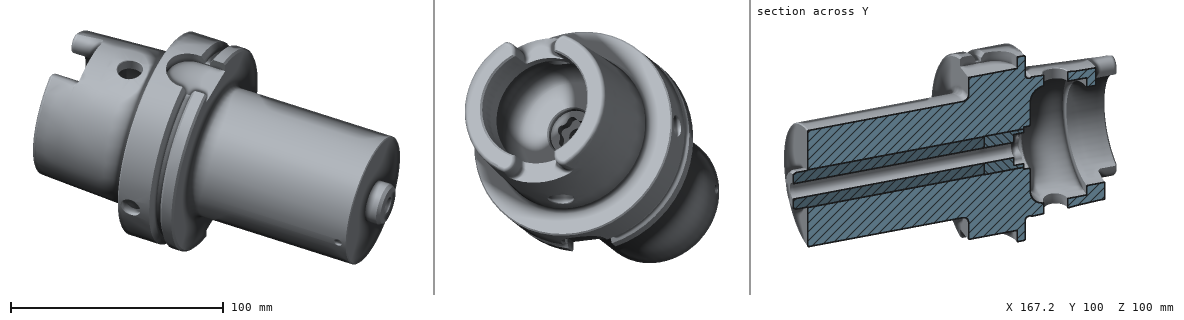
import cadquery as cq
import math


TAPER_END_RADIUS = 35.5
TAPER_SLOPE = 0.05
TAPER_LENGTH = 47.2
END_ROUNDING = 1.8
RELIEF_RADIUS = 37.3
RELIEF_FILLET = 2.0

FLANGE_X = 50.2
FLANGE_RADIUS = 50.0
FLANGE_BACK_X = 79.0
FLANGE_FRONT_CHAMFER = 0.7
FLANGE_BACK_CHAMFER = 1.0
GROOVE_FRONT_X = 66.5
GROOVE_LIP_RADIUS = 47.8
GROOVE_LIP_FRONT_X = 68.2
GROOVE_LIP_BACK_X = 71.4
GROOVE_BACK_X = 72.9
GROOVE_WALL_LEAN = 0.3
GROOVE_FLOOR_RADIUS = 46.0

NECK_RADIUS = 63.0 / 2
NECK_END_X = 159.8
NECK_FILLET = 2.8
NECK_END_CHAMFER = 0.5

BORE_RADIUS = 53.0 / 2
BORE_MOUTH_CHAMFER = 0.8
CLAMP_LIP_X = 19.4
UNDERCUT_RADIUS = 63.0 / 2
FLOOR_RADIUS = 48.5 / 2
FLOOR_FILLET = UNDERCUT_RADIUS - FLOOR_RADIUS
UNDERCUT_END_X = 40.3
BORE_FLOOR_X = UNDERCUT_END_X + FLOOR_FILLET

SLOT_HALF_WIDTH = 9.7
SLOT_EDGE_RADIUS = 5.4
SLOT_FLOOR_FILLET = 1.7
SLOT_DEPTH_TOP = 14.7
SLOT_DEPTH_BOTTOM = 10.2

KEYWAY_WIDTH = 21.7
KEYWAY_START_X = 54.3
KEYWAY_FLOOR_Z = 43.8

ACCESS_HOLE_X = 35.0
ACCESS_HOLE_DIAMETER = 12.0
ACCESS_HOLE_CHAMFER = 0.3
CHIP_HOLE_X = 57.0
CHIP_HOLE_DIAMETER = 10.0
CHIP_HOLE_DEPTH = 4.7
DRILL_POINT_X = 155.3
DRILL_POINT_DIAMETER = 4.0
DRILL_POINT_DEPTH = 1.7
DRILL_TIP_HEIGHT = 1.2

COOLANT_DIAMETER = 8.0
SCREW_DIAMETER = 20.4
SCREW_RECESS_DIAMETER = 22.5
SCREW_RECESS = 3.3
SCREW_LENGTH = 20.0
SCREW_HOLE_MOUTH_CHAMFER = 0.7
SOCKET_TIP_RADIUS = 8.4
SOCKET_FLANK_RADIUS = 7.5
SOCKET_VALLEY_RADIUS = 6.7
SOCKET_LOBES = 6
SOCKET_TURN = 84
SOCKET_DEPTH = 5.0
STUD_DIAMETER = 20.0
STUD_CHAMFER = 1.0
STUD_CHAMFER_LENGTH = 1.7
OVERALL_LENGTH = 167.2

SCREW_START_X = BORE_FLOOR_X + SCREW_RECESS
SCREW_END_X = SCREW_START_X + SCREW_LENGTH
PAST_SURFACE = 2 * FLANGE_RADIUS
PICK_MARGIN = 0.2


def rod(start_x, end_x, diameter):
    """A plain cylinder along the X axis."""
    return cq.Workplane("YZ", origin=(start_x, 0, 0)).circle(diameter / 2).extrude(end_x - start_x)


def turned(profile):
    """A solid of revolution about X from a closed (x, radius) profile."""
    return profile.close().revolve(360, (0, 0, 0), (1, 0, 0))


def outer_body():
    """Taper shank, flange with its gripper groove, and neck."""
    taper_end_radius = TAPER_END_RADIUS + TAPER_SLOPE * TAPER_LENGTH
    relief_start_x = TAPER_LENGTH + (taper_end_radius - RELIEF_RADIUS)
    profile = (
        cq.Workplane("XY")
        .lineTo(0, TAPER_END_RADIUS - END_ROUNDING)
        .radiusArc((END_ROUNDING, TAPER_END_RADIUS + TAPER_SLOPE * END_ROUNDING), END_ROUNDING)
        .lineTo(TAPER_LENGTH, taper_end_radius)
        .lineTo(relief_start_x, RELIEF_RADIUS)
        .lineTo(FLANGE_X - RELIEF_FILLET, RELIEF_RADIUS)
        .radiusArc((FLANGE_X, RELIEF_RADIUS + RELIEF_FILLET), -RELIEF_FILLET)
        .lineTo(FLANGE_X, FLANGE_RADIUS - FLANGE_FRONT_CHAMFER)
        .lineTo(FLANGE_X + FLANGE_FRONT_CHAMFER, FLANGE_RADIUS)
        .lineTo(GROOVE_FRONT_X, FLANGE_RADIUS)
        .lineTo(GROOVE_LIP_FRONT_X, GROOVE_LIP_RADIUS)
        .lineTo(GROOVE_LIP_FRONT_X + GROOVE_WALL_LEAN, GROOVE_FLOOR_RADIUS)
        .lineTo(GROOVE_LIP_BACK_X - GROOVE_WALL_LEAN, GROOVE_FLOOR_RADIUS)
        .lineTo(GROOVE_LIP_BACK_X, GROOVE_LIP_RADIUS)
        .lineTo(GROOVE_BACK_X, FLANGE_RADIUS)
        .lineTo(FLANGE_BACK_X - FLANGE_BACK_CHAMFER, FLANGE_RADIUS)
        .lineTo(FLANGE_BACK_X, FLANGE_RADIUS - FLANGE_BACK_CHAMFER)
        .lineTo(FLANGE_BACK_X, NECK_RADIUS + NECK_FILLET)
        .radiusArc((FLANGE_BACK_X + NECK_FILLET, NECK_RADIUS), -NECK_FILLET)
        .lineTo(NECK_END_X - NECK_END_CHAMFER, NECK_RADIUS)
        .lineTo(NECK_END_X, NECK_RADIUS - NECK_END_CHAMFER)
        .lineTo(NECK_END_X, 0)
    )
    return turned(profile)


def clamping_bore():
    """Bore of the shank: clamping lip, undercut behind it and rounded floor corner."""
    profile = (
        cq.Workplane("XY")
        .lineTo(0, BORE_RADIUS)
        .lineTo(CLAMP_LIP_X, BORE_RADIUS)
        .lineTo(CLAMP_LIP_X, UNDERCUT_RADIUS)
        .lineTo(UNDERCUT_END_X, UNDERCUT_RADIUS)
        .radiusArc((BORE_FLOOR_X, FLOOR_RADIUS), FLOOR_FILLET)
        .lineTo(BORE_FLOOR_X, 0)
    )
    return turned(profile)


def bore_mouth_chamfer():
    """Cone that breaks the edge of the clamping bore."""
    profile = (
        cq.Workplane("XY")
        .lineTo(0, BORE_RADIUS + BORE_MOUTH_CHAMFER)
        .lineTo(BORE_MOUTH_CHAMFER, BORE_RADIUS)
        .lineTo(BORE_MOUTH_CHAMFER, 0)
    )
    return turned(profile)


def opposite(cutter):
    """The same cutter on the other side of the axis."""
    return cutter.rotate((0, 0, 0), (1, 0, 0), 180)


def slot_opening(depth):
    """Prism of the drive slot without edge fillets, open upward.

    Its walls roll outward over SLOT_EDGE_RADIUS and meet the taper tangentially at the slot floor.
    """
    taper_radius = TAPER_END_RADIUS + TAPER_SLOPE * depth
    centre_y = SLOT_HALF_WIDTH + SLOT_EDGE_RADIUS
    centre_radius = taper_radius - SLOT_EDGE_RADIUS
    centre_z = math.sqrt(centre_radius**2 - centre_y**2)
    tip_y = centre_y * taper_radius / centre_radius
    tip_z = centre_z * taper_radius / centre_radius
    top_y = tip_y * FLANGE_RADIUS / tip_z
    return (
        cq.Workplane("YZ")
        .moveTo(-SLOT_HALF_WIDTH, 0)
        .lineTo(SLOT_HALF_WIDTH, 0)
        .lineTo(SLOT_HALF_WIDTH, centre_z)
        .radiusArc((tip_y, tip_z), SLOT_EDGE_RADIUS)
        .lineTo(top_y, FLANGE_RADIUS)
        .lineTo(-top_y, FLANGE_RADIUS)
        .lineTo(-tip_y, tip_z)
        .radiusArc((-SLOT_HALF_WIDTH, centre_z), SLOT_EDGE_RADIUS)
        .close()
        .extrude(depth)
    )


def upper_block(start_x, end_x):
    """Box above the axis, wider than the shank."""
    return (
        cq.Workplane("YZ", origin=(start_x, 0, FLANGE_RADIUS / 2))
        .rect(PAST_SURFACE, FLANGE_RADIUS)
        .extrude(end_x - start_x)
    )


def wall_edges_at(x, flank):
    """Selector for the slot wall edges at one x on one flank (+1 or -1), without base and top edges."""
    return cq.selectors.BoxSelector(
        (x - PICK_MARGIN, flank * PICK_MARGIN, PICK_MARGIN),
        (x + PICK_MARGIN, flank * (FLANGE_RADIUS - PICK_MARGIN), FLANGE_RADIUS - PICK_MARGIN),
    )


def drive_slot(depth):
    """Cutter for a drive slot in the top of the shank, with rounded mouth and floor corners."""
    walls = upper_block(0, depth + SLOT_FLOOR_FILLET).cut(slot_opening(depth))
    for flank in (1, -1):
        walls = walls.edges(wall_edges_at(0, flank)).fillet(END_ROUNDING)
        walls = walls.edges(wall_edges_at(depth, flank)).fillet(SLOT_FLOOR_FILLET)
    return upper_block(-END_ROUNDING, depth).cut(walls)


def keyway():
    """Cutter for the round-ended keyway in the top of the flange, open toward the neck."""
    end_radius = KEYWAY_WIDTH / 2
    centre_x = KEYWAY_START_X + end_radius
    length = FLANGE_BACK_X - centre_x
    return (
        cq.Workplane("XY", origin=(centre_x, 0, KEYWAY_FLOOR_Z))
        .moveTo(length, -end_radius)
        .lineTo(0, -end_radius)
        .threePointArc((-end_radius, 0), (0, end_radius))
        .lineTo(length, end_radius)
        .close()
        .extrude(FLANGE_RADIUS)
    )


def with_access_hole(holder):
    """The holder with a hole through both walls of its shank, chamfered outside."""
    hole = (
        cq.Workplane("XY", origin=(ACCESS_HOLE_X, 0, 0))
        .circle(ACCESS_HOLE_DIAMETER / 2)
        .extrude(PAST_SURFACE, both=True)
    )
    holder = holder.cut(hole)
    reach = ACCESS_HOLE_DIAMETER / 2 + PICK_MARGIN
    middle_of_wall = (UNDERCUT_RADIUS + TAPER_END_RADIUS) / 2
    for side in (1, -1):
        at_mouth = cq.selectors.BoxSelector(
            (ACCESS_HOLE_X - reach, -reach, side * middle_of_wall),
            (ACCESS_HOLE_X + reach, reach, side * FLANGE_RADIUS),
        )
        holder = holder.edges(at_mouth).chamfer(ACCESS_HOLE_CHAMFER)
    return holder


def chip_hole():
    """Flat-bottomed hole in the front of the flange rim."""
    return (
        cq.Workplane("XZ", origin=(CHIP_HOLE_X, -FLANGE_RADIUS + CHIP_HOLE_DEPTH, 0))
        .circle(CHIP_HOLE_DIAMETER / 2)
        .extrude(PAST_SURFACE)
    )


def drill_point():
    """Small blind hole with a conical bottom near the end of the neck."""
    radius = DRILL_POINT_DIAMETER / 2
    floor_y = -NECK_RADIUS + DRILL_POINT_DEPTH
    return (
        cq.Workplane("XY", origin=(DRILL_POINT_X, 0, 0))
        .moveTo(0, floor_y + DRILL_TIP_HEIGHT)
        .lineTo(radius, floor_y)
        .lineTo(radius, -FLANGE_RADIUS)
        .lineTo(0, -FLANGE_RADIUS)
        .close()
        .revolve(360, (0, 0, 0), (0, 1, 0))
    )


def screw_and_stud_bore():
    """Stepped bore along the axis that the screw and the stud fill."""
    screw_radius = SCREW_DIAMETER / 2
    recess_radius = SCREW_RECESS_DIAMETER / 2
    profile = (
        cq.Workplane("XY")
        .moveTo(BORE_FLOOR_X, 0)
        .lineTo(BORE_FLOOR_X, recess_radius + SCREW_HOLE_MOUTH_CHAMFER)
        .lineTo(BORE_FLOOR_X + SCREW_HOLE_MOUTH_CHAMFER, recess_radius)
        .lineTo(SCREW_START_X, recess_radius)
        .lineTo(SCREW_START_X, screw_radius)
        .lineTo(SCREW_END_X, screw_radius)
        .lineTo(SCREW_END_X, STUD_DIAMETER / 2)
        .lineTo(NECK_END_X, STUD_DIAMETER / 2)
        .lineTo(NECK_END_X, 0)
    )
    return turned(profile)


def make_holder():
    holder = outer_body().cut(clamping_bore())
    holder = holder.cut(drive_slot(SLOT_DEPTH_TOP))
    holder = holder.cut(opposite(drive_slot(SLOT_DEPTH_BOTTOM)))
    holder = holder.cut(bore_mouth_chamfer())
    holder = holder.cut(keyway()).cut(opposite(keyway()))
    holder = with_access_hole(holder)
    holder = holder.cut(chip_hole()).cut(drill_point())
    return holder.cut(screw_and_stud_bore())


def make_screw():
    """Hollow screw with a six-lobed socket facing the clamping bore."""
    screw = rod(SCREW_START_X, SCREW_END_X, SCREW_DIAMETER)
    pitch = 360 / SOCKET_LOBES
    quarter = 0.25

    def socket_point(radius, pitches):
        angle = math.radians(SOCKET_TURN + pitches * pitch)
        return radius * math.cos(angle), radius * math.sin(angle)

    outline = cq.Workplane("YZ", origin=(SCREW_START_X, 0, 0))
    outline = outline.moveTo(*socket_point(SOCKET_FLANK_RADIUS, -quarter))
    for lobe in range(SOCKET_LOBES):
        tip = socket_point(SOCKET_TIP_RADIUS, lobe)
        flank = socket_point(SOCKET_FLANK_RADIUS, lobe + quarter)
        valley = socket_point(SOCKET_VALLEY_RADIUS, lobe + 2 * quarter)
        next_flank = socket_point(SOCKET_FLANK_RADIUS, lobe + 3 * quarter)
        outline = outline.threePointArc(tip, flank).threePointArc(valley, next_flank)
    socket = outline.close().extrude(SOCKET_DEPTH)
    return screw.cut(socket).cut(rod(SCREW_START_X, SCREW_END_X, COOLANT_DIAMETER))


def make_stud():
    """Hollow stud that stands out of the end of the neck."""
    radius = STUD_DIAMETER / 2
    profile = (
        cq.Workplane("XY")
        .moveTo(SCREW_END_X, 0)
        .lineTo(SCREW_END_X, radius)
        .lineTo(OVERALL_LENGTH - STUD_CHAMFER_LENGTH, radius)
        .lineTo(OVERALL_LENGTH, radius - STUD_CHAMFER)
        .lineTo(OVERALL_LENGTH, 0)
    )
    return turned(profile).cut(rod(SCREW_END_X, OVERALL_LENGTH, COOLANT_DIAMETER))


holder = make_holder()
screw = make_screw()
stud = make_stud()
result = cq.Compound.makeCompound([holder.val(), screw.val(), stud.val()])